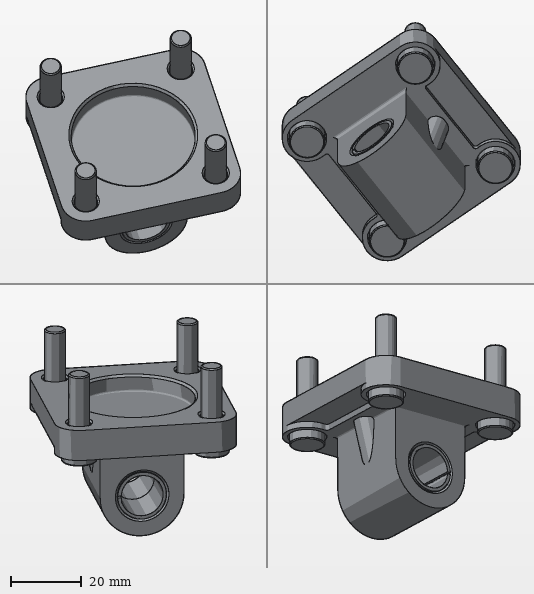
import cadquery as cq
import math

flange_side = 52.0
flange_thickness = 9.0
corner_radius = 7.0

pocket_diameter = 35.0
pocket_depth = 5.0
pocket_chamfer = 0.7
pocket_floor_fillet = 0.5

recess_height = 1.8
recess_wall_y = 17.0
recess_fillet = 0.8

lug_length = 28.0
lug_width = 24.0
lug_root_fillet = 1.0
pivot_z = -25.0

rib_width = 7.0
rib_edge_radius = 3.0
rib_reach = 3.5
rib_foot_z = -22.0

bushing_outer_diameter = 14.0
bushing_inner_diameter = 12.0
bushing_length = lug_length / 2
bushing_slit = 0.5
bore_chamfer = 0.7

screw_diameter = 6.0
screw_length = 20.0
screw_tip_z = 14.5
screw_tip_chamfer = 0.35
head_diameter = 10.0
head_height = 6.0
head_chamfer = 0.3
screw_hole_diameter = 6.6
screw_hole_chamfer = 0.5
counterbore_diameter = 11.0

root_pick_margin = 0.05

half_side = flange_side / 2
screw_offset = half_side - corner_radius
head_seat_z = screw_tip_z - screw_length
screw_points = [(sx * screw_offset, sy * screw_offset) for sx in (-1, 1) for sy in (-1, 1)]


def make_plate():
    """Square flange plate with rounded corners."""
    plate = cq.Workplane("XY").rect(flange_side, flange_side).extrude(-flange_thickness)
    return plate.edges("|Z").fillet(corner_radius)


def make_edge_recess(side):
    """Cutter for the recess between the two round corner bosses on one Y side."""
    inner_x = screw_offset - corner_radius
    wall_y = side * recess_wall_y
    boss_y = side * screw_offset
    edge_y = side * half_side
    arc_reach = corner_radius * math.sqrt(0.5)
    arc_x = screw_offset - arc_reach
    arc_y = boss_y + side * arc_reach
    cutter = (
        cq.Workplane("XY", origin=(0, 0, -flange_thickness))
        .moveTo(-inner_x, wall_y)
        .lineTo(inner_x, wall_y)
        .lineTo(inner_x, boss_y)
        .threePointArc((arc_x, arc_y), (screw_offset, edge_y))
        .lineTo(-screw_offset, edge_y)
        .threePointArc((-arc_x, arc_y), (-inner_x, boss_y))
        .close()
        .extrude(recess_height)
    )
    wall_face = "<Y" if side > 0 else ">Y"
    return cutter.faces(wall_face).edges("|Z").fillet(recess_fillet)


def make_lug():
    """Round-ended lug reaching down from the flange underside."""
    half_width = lug_width / 2
    return (
        cq.Workplane("YZ", origin=(-lug_length / 2, 0, 0))
        .moveTo(-half_width, -flange_thickness)
        .lineTo(-half_width, pivot_z)
        .threePointArc((0, pivot_z - half_width), (half_width, pivot_z))
        .lineTo(half_width, -flange_thickness)
        .close()
        .extrude(lug_length)
    )


def make_rib(side):
    """Wedge rib on one Y face of the lug, with its two sloping edges rounded."""
    face_y = lug_width / 2
    outer_y = side * (face_y + rib_reach)
    wedge = (
        cq.Workplane("YZ", origin=(-rib_width / 2, 0, 0))
        .moveTo(0, -flange_thickness)
        .lineTo(outer_y, -flange_thickness)
        .lineTo(side * face_y, rib_foot_z)
        .lineTo(0, rib_foot_z)
        .close()
        .extrude(rib_width)
    )
    slope_middle = (0, outer_y, (rib_foot_z - flange_thickness) / 2)
    return wedge.faces(cq.NearestToPointSelector(slope_middle)).edges("not |X").fillet(rib_edge_radius)


def make_pocket():
    """Cutter for the spigot pocket, rounded at its floor and flared at its rim."""
    pocket = cq.Workplane("XY").circle(pocket_diameter / 2).extrude(-pocket_depth)
    pocket = pocket.faces("<Z").edges().fillet(pocket_floor_fillet)
    return pocket.union(make_flare(pocket_diameter, pocket_chamfer))


def make_flare(diameter, chamfer):
    """45 degree cone that chamfers the mouth of a hole opening upward at Z = 0."""
    return cq.Workplane("XY").circle(diameter / 2 + chamfer).extrude(-chamfer, taper=45)


def make_screw_hole():
    """Cutter for one counterbored screw hole on the Z axis."""
    hole = cq.Workplane("XY").circle(screw_hole_diameter / 2).extrude(-flange_thickness)
    counterbore = (
        cq.Workplane("XY", origin=(0, 0, head_seat_z))
        .circle(counterbore_diameter / 2)
        .extrude(-flange_thickness - head_seat_z)
    )
    return hole.union(counterbore).union(make_flare(screw_hole_diameter, screw_hole_chamfer))


def make_bore():
    """Cutter for the pivot bore through the lug, chamfered at both ends."""
    radius = bushing_outer_diameter / 2
    rim_radius = radius + bore_chamfer
    end_x = lug_length / 2
    straight_x = end_x - bore_chamfer
    half_section = (
        cq.Workplane("XY")
        .moveTo(-end_x, 0)
        .lineTo(-end_x, rim_radius)
        .lineTo(-straight_x, radius)
        .lineTo(straight_x, radius)
        .lineTo(end_x, rim_radius)
        .lineTo(end_x, 0)
        .close()
    )
    return half_section.revolve(360, (0, 0, 0), (1, 0, 0)).translate((0, 0, pivot_z))


def make_bracket():
    """Flange, lug and ribs as one casting with all holes."""
    bracket = make_plate().union(make_lug())
    reach_x = lug_length / 2 + root_pick_margin
    reach_y = lug_width / 2 + root_pick_margin
    root_box = cq.selectors.BoxSelector(
        (-reach_x, -reach_y, -flange_thickness - root_pick_margin),
        (reach_x, reach_y, -flange_thickness + root_pick_margin),
    )
    bracket = bracket.edges(root_box).fillet(lug_root_fillet)
    for side in (-1, 1):
        bracket = bracket.union(make_rib(side)).cut(make_edge_recess(side))
    bracket = bracket.cut(make_pocket())
    screw_hole = make_screw_hole()
    for x, y in screw_points:
        bracket = bracket.cut(screw_hole.translate((x, y, 0)))
    bracket = bracket.cut(make_bore())
    return bracket


def make_bushing(start_x):
    """Split sleeve on the pivot axis, with its slit on the +Y side."""
    sleeve = (
        cq.Workplane("YZ", origin=(start_x, 0, pivot_z))
        .circle(bushing_outer_diameter / 2)
        .circle(bushing_inner_diameter / 2)
        .extrude(bushing_length)
    )
    slit = cq.Workplane("XY").box(
        bushing_length, bushing_outer_diameter, bushing_slit, centered=(False, False, True)
    )
    return sleeve.cut(slit.translate((start_x, 0, pivot_z)))


def make_screw(x, y):
    """Cap screw pointing up, its head seated in the counterbore."""
    head = (
        cq.Workplane("XY", origin=(x, y, head_seat_z))
        .circle(head_diameter / 2)
        .extrude(-head_height)
        .faces("<Z")
        .chamfer(head_chamfer)
    )
    shank = (
        cq.Workplane("XY", origin=(x, y, head_seat_z))
        .circle(screw_diameter / 2)
        .extrude(screw_length)
        .faces(">Z")
        .chamfer(screw_tip_chamfer)
    )
    return head.union(shank)


bracket = make_bracket()
bushings = [make_bushing(start_x) for start_x in (-bushing_length, 0)]
screws = [make_screw(x, y) for x, y in screw_points]

result = cq.Compound.makeCompound(
    [bracket.val()] + [bushing.val() for bushing in bushings] + [screw.val() for screw in screws]
)